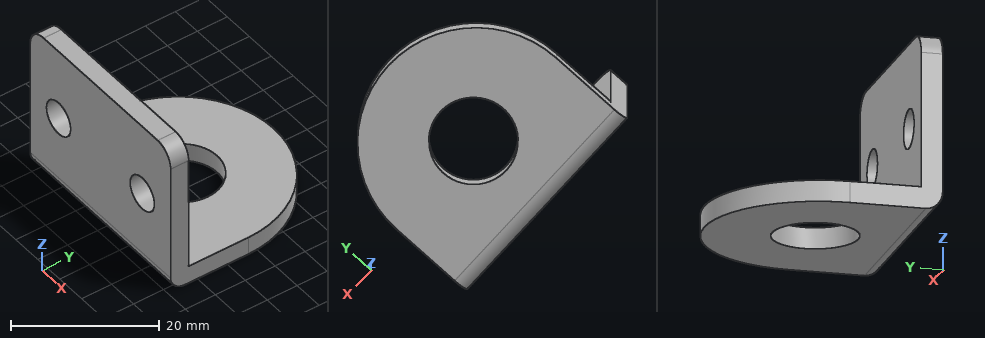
import cadquery as cq

width = 32.0
depth = 29.0
height = 25.0
thickness = 3.0

bend_radius = 2.43
corner_radius = 3.0
nose_radius = width / 2

large_hole_diameter = 12.0
large_hole_y = 13.5
small_hole_diameter = 5.5
small_hole_spacing = 19.07
small_hole_z = 13.05


def make_base():
    """Horizontal plate with a semicircular far end."""
    nose_y = depth - nose_radius
    return (
        cq.Workplane("XY")
        .moveTo(-width / 2, 0)
        .lineTo(width / 2, 0)
        .lineTo(width / 2, nose_y)
        .threePointArc((0, depth), (-width / 2, nose_y))
        .close()
        .extrude(thickness)
    )


def make_upright():
    """Vertical plate with rounded top corners."""
    return (
        cq.Workplane("XY")
        .box(width, thickness, height, centered=(True, False, False))
        .edges("|Y and >Z")
        .fillet(corner_radius)
    )


def make_large_hole():
    """Cutter for the hole through the base."""
    return (
        cq.Workplane("XY")
        .center(0, large_hole_y)
        .circle(large_hole_diameter / 2)
        .extrude(thickness)
    )


def make_small_holes():
    """Cutters for the pair of holes through the upright."""
    half_spacing = small_hole_spacing / 2
    return (
        cq.Workplane("XZ")
        .pushPoints([(-half_spacing, small_hole_z), (half_spacing, small_hole_z)])
        .circle(small_hole_diameter / 2)
        .extrude(-thickness)
    )


bracket = make_base().union(make_upright())
bracket = bracket.edges("|X and <Y and <Z").fillet(bend_radius)
result = bracket.cut(make_large_hole()).cut(make_small_holes())